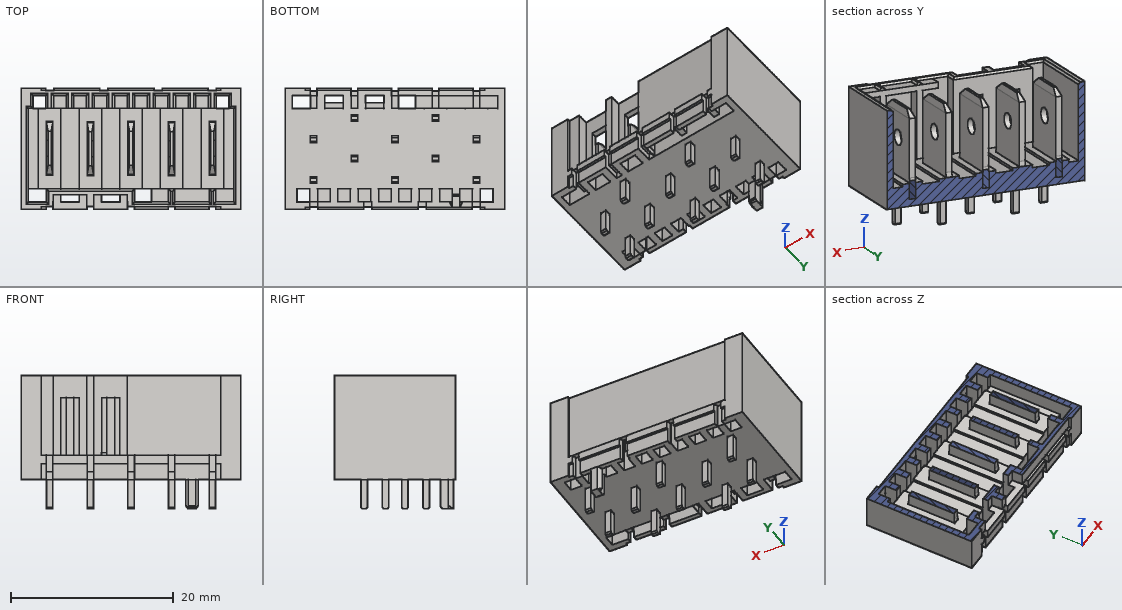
import cadquery as cq

length = 27.0
depth = 14.9
height = 12.8
half_depth = depth / 2

cavity_half_length = 12.6
floor_half_depth = 4.95
cell_end = 6.53
mouth_chamfer = 0.27
cap_bottom = 11.77
cap_top = height - mouth_chamfer

contact_count = 5
contact_pitch = 5.0
contact_thickness = 0.8
contact_xs = [(i - (contact_count - 1) / 2) * contact_pitch for i in range(contact_count)]

blade_half_width = 3.2
blade_offset = 0.03
blade_top = 12.2
tip_height = 0.9
tip_half_width = 2.08
tip_thickness = 0.38
blade_hole_diameter = 2.0
blade_hole_height = 8.0
foot_top = 3.7
foot_flare = 0.1
base_top = 2.15
base_bottom = 0.97
leg_width = 0.8
leg_bottom = -3.6
leg_tip_chamfer = 0.2
long_side_leg_y = 3.8
short_side_leg_y = -1.2
contact_row_y = 0.03

floor_top = 2.7
block_top = 3.02
block_width = 2.75

pocket_count = 10
pocket_pitch = contact_pitch / 2
pocket_width = 1.55
pocket_xs = [(i - (pocket_count - 1) / 2) * pocket_pitch for i in range(pocket_count)]

rib_width = contact_thickness
bay_wall_right = 0.43
cell_spans = [
    (-cavity_half_length, contact_xs[0] - rib_width / 2),
    (bay_wall_right, contact_xs[3] - rib_width / 2),
    (contact_xs[3] + rib_width / 2, contact_xs[4] - rib_width / 2),
    (contact_xs[4] + rib_width / 2, cavity_half_length),
]
first_cap_start = 2.5
cap_spans = [(first_cap_start, cell_spans[1][1]), cell_spans[2], cell_spans[3]]

bay_xs = [-1.5 * contact_pitch, -0.5 * contact_pitch]
bay_width = 4.1
bay_back = 5.67
window_width = 2.25
window_top = 10.07

recess_half_length = 11.02
recess_depth = 0.3
front_upper_recess_depth = 0.35
band_bottom = 1.95
band_top = block_top
rear_notch_xs = [-9.95, -3.32, 3.32, 9.95]
rear_notch_width = 0.97
rear_notch_top = 3.3

peg_x = 1.5 * contact_pitch
peg_bottom = leg_bottom
peg_stem_half_width = (pocket_pitch - pocket_width) / 2
peg_half_width = 0.78
peg_front = 5.55
peg_shoulder = 6.55
peg_back = 7.18
peg_back_half_width = 0.45
peg_wing_chamfer_height = 0.43
peg_lead_depth = 0.08
peg_tip_chamfer = 0.2


def block(x0, x1, y0, y1, z0, z1):
    """Box between two opposite corners."""
    return cq.Workplane("XY").box(x1 - x0, y1 - y0, z1 - z0, centered=False).translate((x0, y0, z0))


def mouth(x0, x1, y0, y1):
    """Flared top of an opening, widening by the mouth chamfer on every side."""
    middle = ((x0 + x1) / 2, (y0 + y1) / 2)
    return (
        cq.Workplane("XY", origin=(*middle, cap_top))
        .rect(x1 - x0, y1 - y0)
        .workplane(offset=mouth_chamfer)
        .rect(x1 - x0 + 2 * mouth_chamfer, y1 - y0 + 2 * mouth_chamfer)
        .loft(combine=True)
    )


def opening(x0, x1, y0, y1):
    """Vertical through opening with a flared mouth."""
    return block(x0, x1, y0, y1, 0, height).union(mouth(x0, x1, y0, y1))


def contact_outline():
    """Blade and base seen along X."""
    foot_half_width = blade_half_width + foot_flare
    base_end = long_side_leg_y + leg_width / 2
    right = blade_offset + foot_half_width
    left = blade_offset - foot_half_width
    points = [
        (left, base_bottom),
        (base_end, base_bottom),
        (base_end, base_top),
        (right, base_top),
        (right, block_top),
        (blade_offset + blade_half_width, foot_top),
        (blade_offset + blade_half_width, blade_top - tip_height),
        (blade_offset + tip_half_width, blade_top),
        (blade_offset - tip_half_width, blade_top),
        (blade_offset - blade_half_width, blade_top - tip_height),
        (blade_offset - blade_half_width, foot_top),
        (left, block_top),
    ]
    return cq.Workplane("YZ").polyline(points).close().extrude(contact_thickness / 2, both=True)


def leg(y):
    return (
        block(-contact_thickness / 2, contact_thickness / 2, y - leg_width / 2, y + leg_width / 2,
              leg_bottom, base_bottom)
        .faces("<Z")
        .edges("|X")
        .chamfer(leg_tip_chamfer)
    )


def contact_side_taper():
    """Strip thickness seen along Y, thinning to the blade tip."""
    points = [
        (-contact_thickness / 2, leg_bottom),
        (contact_thickness / 2, leg_bottom),
        (contact_thickness / 2, blade_top - tip_height),
        (tip_thickness / 2, blade_top),
        (-tip_thickness / 2, blade_top),
        (-contact_thickness / 2, blade_top - tip_height),
    ]
    return cq.Workplane("XZ").polyline(points).close().extrude(half_depth, both=True)


def make_contact():
    hole = (
        cq.Workplane("YZ", origin=(0, blade_offset, blade_hole_height))
        .circle(blade_hole_diameter / 2)
        .extrude(contact_thickness, both=True)
    )
    strip = contact_outline().union(leg(long_side_leg_y)).union(leg(short_side_leg_y))
    return strip.intersect(contact_side_taper()).cut(hole)


contacts = []
for i, x in enumerate(contact_xs):
    turn = 180 * (i % 2)
    contacts.append(make_contact().rotate((0, 0, 0), (0, 0, 1), turn).translate((x, contact_row_y, 0)))


def main_cavity():
    """Central cavity; its mouth is flared except in front of the pocket ribs."""
    span = (-cavity_half_length, cavity_half_length, -floor_half_depth, floor_half_depth)
    pocket_row_end = pocket_xs[-1] + pocket_width / 2
    rib_fronts = block(-pocket_row_end, pocket_row_end, floor_half_depth, half_depth, 0, height)
    return opening(*span).cut(rib_fronts)


def floor():
    """Cavity floor with a raised block under each contact."""
    slab = block(-cavity_half_length, cavity_half_length, -floor_half_depth, floor_half_depth, 0, floor_top)
    for x in contact_xs:
        slab = slab.union(
            block(x - block_width / 2, x + block_width / 2, -floor_half_depth, floor_half_depth, 0, block_top)
        )
    return slab


def bay(x):
    """Recess open to the front and top, with a window into the cavity and a shaft to the underside."""
    recess = block(x - bay_width / 2, x + bay_width / 2, -half_depth, -bay_back, band_top, height)
    left, right = x - window_width / 2, x + window_width / 2
    window = block(left, right, -bay_back, -floor_half_depth, 0, window_top)
    shaft = block(left, right, -cell_end, -bay_back, 0, band_top)
    return recess.union(window).union(shaft)


def wall_recess(outer_y, inner_y, z0, z1):
    """Shallow recess along the outside of a long wall."""
    y0, y1 = sorted((outer_y, inner_y))
    return block(-recess_half_length, recess_half_length, y0, y1, z0, z1)


def outer_recesses():
    """Recesses that leave a proud band along the foot of both long walls."""
    recesses = wall_recess(half_depth, half_depth - recess_depth, 0, band_bottom)
    recesses = recesses.union(wall_recess(half_depth, half_depth - recess_depth, band_top, height))
    recesses = recesses.union(wall_recess(-half_depth, recess_depth - half_depth, 0, band_bottom))
    return recesses.union(wall_recess(-half_depth, front_upper_recess_depth - half_depth, band_top, height))


def front_notch(x):
    """Slot through the -Y wall that goes on, lower, under the rib behind it."""
    left, right = x - contact_thickness / 2, x + contact_thickness / 2
    wall_slot = block(left, right, -half_depth, -cell_end, 0, band_top)
    rib_slot = block(left, right, -cell_end, -floor_half_depth, 0, base_bottom)
    return wall_slot.union(rib_slot)


def rear_notch(x):
    return block(x - rear_notch_width / 2, x + rear_notch_width / 2, cell_end, half_depth, 0, rear_notch_top)


def peg():
    """Arrow-shaped peg under a pocket rib, tapered at the wings and at the front of its tip."""
    half_plan = [
        (peg_stem_half_width, peg_front),
        (peg_stem_half_width, peg_shoulder),
        (peg_half_width, peg_shoulder),
        (peg_back_half_width, peg_back),
    ]
    other_half = [(-x, y) for x, y in reversed(half_plan)]
    body = cq.Workplane("XY").polyline(half_plan + other_half).close().extrude(peg_bottom)

    wing_chamfer_top = peg_bottom + peg_wing_chamfer_height
    wing_profile = [
        (peg_half_width, 0),
        (peg_half_width, wing_chamfer_top),
        (peg_stem_half_width, peg_bottom),
        (-peg_stem_half_width, peg_bottom),
        (-peg_half_width, wing_chamfer_top),
        (-peg_half_width, 0),
    ]
    wing_envelope = cq.Workplane("XZ").polyline(wing_profile).close().extrude(-half_depth)

    side_profile = [
        (peg_front, 0),
        (peg_front, peg_bottom + 2 * peg_tip_chamfer),
        (peg_front + peg_lead_depth, peg_bottom + peg_tip_chamfer),
        (peg_front + peg_lead_depth + peg_tip_chamfer, peg_bottom),
        (peg_back, peg_bottom),
        (peg_back, 0),
    ]
    side_envelope = cq.Workplane("YZ").polyline(side_profile).close().extrude(peg_half_width, both=True)
    return body.intersect(wing_envelope).intersect(side_envelope).translate((peg_x, 0, 0))


def make_housing():
    body = block(-length / 2, length / 2, -half_depth, half_depth, 0, height).cut(main_cavity())
    for x in pocket_xs:
        body = body.cut(opening(x - pocket_width / 2, x + pocket_width / 2, floor_half_depth, cell_end))
    for left, right in cell_spans:
        body = body.cut(opening(left, right, -cell_end, -floor_half_depth))
    for x in pocket_xs[1:-1]:
        body = body.union(
            block(x - pocket_width / 2, x + pocket_width / 2, floor_half_depth, cell_end, cap_bottom, cap_top)
        )
    for left, right in cap_spans:
        body = body.union(block(left, right, -cell_end, -floor_half_depth, cap_bottom, cap_top))
    body = body.union(floor())
    for x in bay_xs:
        body = body.cut(bay(x))
    body = body.cut(outer_recesses())
    for x in contact_xs:
        body = body.cut(front_notch(x))
    for x in rear_notch_xs:
        body = body.cut(rear_notch(x))
    body = body.union(peg())
    for contact in contacts:
        body = body.cut(contact)
    return body


housing = make_housing()
result = cq.Compound.makeCompound([housing.val(), *[contact.val() for contact in contacts]])